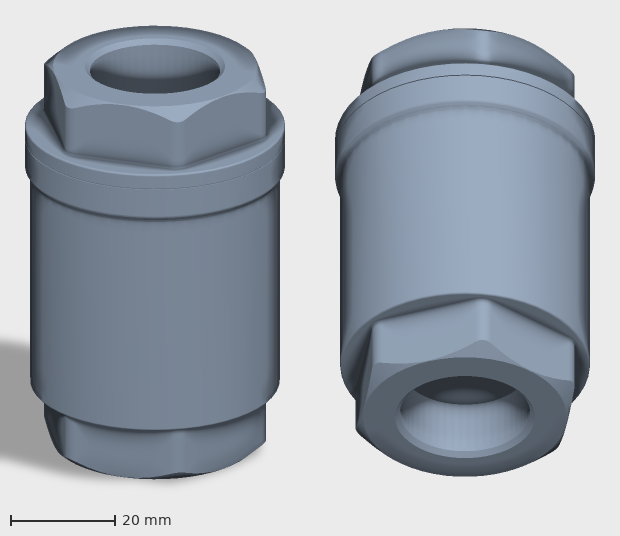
import cadquery as cq
import math

total_height = 78.0
body_diameter = 48.0
flange_diameter = 50.0

hex_height = 12.0
hex_across_flats = 39.4
hex_corner_radius = 3.0
hex_face_diameter = 39.15
hex_chamfer_angle = 41.0
hex_foot_fillet = 0.4

edge_fillet = 0.4
cap_height = 2.9
groove_width = 0.2
groove_depth = 0.3
flange_height = 9.0
shoulder_fillet = 0.7

port_diameter = 25.0
port_depth = 12.0
port_chamfer = 0.9

body_radius = body_diameter / 2
flange_radius = flange_diameter / 2
body_bottom = hex_height
body_top = total_height - hex_height
flange_bottom = body_top - flange_height
shoulder_bottom = flange_bottom - (flange_radius - body_radius)
groove_top = body_top - cap_height
groove_bottom = groove_top - groove_width
mid_height = total_height / 2


def edges_at_height(solid, height):
    """Edges of the solid lying in the horizontal plane at this height."""
    reach = flange_diameter
    slack = 0.01
    slab = cq.selectors.BoxSelector(
        (-reach, -reach, height - slack),
        (reach, reach, height + slack),
        boundingbox=True,
    )
    return solid.edges(slab)


def make_body():
    """Turned body with the flange and its cap groove at the upper end."""
    groove_radius = flange_radius - groove_depth
    profile = [
        (0, body_bottom),
        (body_radius, body_bottom),
        (body_radius, shoulder_bottom),
        (flange_radius, flange_bottom),
        (flange_radius, groove_bottom),
        (groove_radius, groove_bottom),
        (groove_radius, groove_top),
        (flange_radius, groove_top),
        (flange_radius, body_top),
        (0, body_top),
    ]
    body = cq.Workplane("XZ").polyline(profile).close().revolve(360, (0, 0, 0), (0, 1, 0))
    for height in (flange_bottom, shoulder_bottom):
        body = edges_at_height(body, height).fillet(shoulder_fillet)
    for height in (body_bottom, body_top):
        body = edges_at_height(body, height).fillet(edge_fillet)
    return body


def make_hex_end():
    """Upper hexagon with rounded upright edges and its outer corners turned to a cone."""
    across_corners = hex_across_flats / math.cos(math.pi / 6)
    prism = (
        cq.Workplane("XY")
        .polygon(6, across_corners)
        .extrude(hex_height)
        .rotate((0, 0, 0), (0, 0, 1), 30)
        .edges("|Z")
        .fillet(hex_corner_radius)
    )
    face_radius = hex_face_diameter / 2
    cone_radius = face_radius + hex_height / math.tan(math.radians(hex_chamfer_angle))
    cone = cq.Workplane(cq.Solid.makeCone(cone_radius, face_radius, hex_height))
    return prism.intersect(cone).translate((0, 0, body_top))


def fillet_hex_foot(solid, height):
    """Fillet the corner between a hexagon and the body end at this height."""
    foot_edges = [
        edge for edge in edges_at_height(solid, height).vals()
        if math.hypot(edge.Center().x, edge.Center().y) > hex_across_flats / 4
    ]
    return solid.newObject(foot_edges).fillet(hex_foot_fillet)


def make_port():
    """Cutter for the blind upper port with a chamfered mouth."""
    bore = (
        cq.Workplane("XY", origin=(0, 0, total_height - port_depth))
        .circle(port_diameter / 2)
        .extrude(port_depth)
    )
    mouth = (
        cq.Workplane("XY", origin=(0, 0, total_height))
        .circle(port_diameter / 2 + port_chamfer)
        .extrude(-port_chamfer, taper=45)
    )
    return bore.union(mouth)


def at_both_ends(shape):
    """The upper shape and its mirror image at the lower end."""
    return [shape, shape.mirror("XY", (0, 0, mid_height))]


result = make_body()
for hex_end in at_both_ends(make_hex_end()):
    result = result.union(hex_end)
for end_height in (body_bottom, body_top):
    result = fillet_hex_foot(result, end_height)
for port in at_both_ends(make_port()):
    result = result.cut(port)